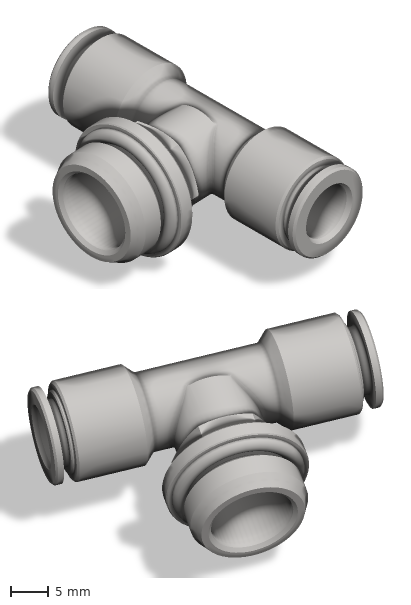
import cadquery as cq
import math


run_half_length = 22.95
run_diameter = 11.0
run_bore_diameter = 6.0
neck_fillet = 0.5
socket_diameter = 14.0
socket_end_x = 20.0
socket_shoulder_x = 10.2
socket_chamfer = 0.3

collar_seat_diameter = 11.65
collar_seat_end_x = 20.45
collar_seat_chamfer = 0.2
collar_neck_diameter = 9.4
collar_flange_diameter = 13.5
collar_flange_thickness = 1.15
collar_flange_chamfer = 0.3
collar_root_fillet = 0.25

tube_bore_diameter = 8.15
tube_bore_end_x = 8.0
tube_bore_mouth_diameter = 8.95
tube_bore_mouth_length = 0.7

stem_diameter = 12.5
stem_top_y = -0.6
stem_top_chamfer_axial = 0.85
stem_top_chamfer_radial = 0.95
stem_root_fillet = 0.6
stem_bottom_y = -8.15

hex_across_flats = 13.1
hex_top_y = -8.33
hex_cone_top_diameter = 12.2
hex_cone_angle = 30.0

flange_diameter = 20.0
flange_top_y = -12.5
flange_bottom_y = -14.95
flange_top_chamfer = 0.45
flange_bottom_chamfer = 0.15
seal_diameter = 18.5
seal_section_diameter = 2.1
seal_centre_y = -15.05
seal_groove_diameter = 14.4
thread_diameter = 16.5
thread_tip_diameter = 14.5
thread_full_y = -17.2
thread_tip_start_y = -20.15
stem_end_y = -22.0

stem_bore_diameter = 11.5
stem_bore_mouth_diameter = 12.5
stem_bore_cone_start_y = -11.0
stem_bore_mouth_length = 0.5

bore_cone_angle = 118.0


def frustum(axis, start, end, start_diameter, end_diameter):
    """Cone or cylinder on the X or Y axis between two positions along it."""
    if axis == "X":
        points = [(start, 0), (start, start_diameter / 2), (end, end_diameter / 2), (end, 0)]
        pivot = (1, 0, 0)
    else:
        points = [(0, start), (start_diameter / 2, start), (end_diameter / 2, end), (0, end)]
        pivot = (0, 1, 0)
    return cq.Workplane("XY").polyline(points).close().revolve(360, (0, 0, 0), pivot)


def cylinder(axis, start, end, diameter):
    """Cylinder on the X or Y axis between two positions along it."""
    return frustum(axis, start, end, diameter, diameter)


def make_blended_tee():
    """Plain run with the round stem, its top edge chamfered, blended into it."""
    run = cylinder("X", -socket_shoulder_x, socket_shoulder_x, run_diameter)
    stem_top_diameter = stem_diameter - 2 * stem_top_chamfer_radial
    stem_body_top_y = stem_top_y - stem_top_chamfer_axial
    stem = cylinder("Y", stem_bottom_y, stem_body_top_y, stem_diameter)
    stem = stem.union(frustum("Y", stem_body_top_y, stem_top_y, stem_diameter, stem_top_diameter))
    tee = run.union(stem)
    return tee.edges("%BSPLINE").fillet(stem_root_fillet)


def make_run_end():
    """Socket and release collar at the +X end, turned from one profile."""
    run_radius = run_diameter / 2
    socket_radius = socket_diameter / 2
    seat_radius = collar_seat_diameter / 2
    neck_radius = collar_neck_diameter / 2
    flange_radius = collar_flange_diameter / 2
    flange_x = run_half_length - collar_flange_thickness
    cone_start_x = socket_shoulder_x - (socket_radius - run_radius)
    blend_reach = neck_fillet * math.tan(math.pi / 8)
    blend_rise = blend_reach * math.cos(math.pi / 4)
    profile = (
        cq.Workplane("XY")
        .lineTo(0, run_radius)
        .lineTo(cone_start_x - blend_reach, run_radius)
        .tangentArcPoint((cone_start_x + blend_rise, run_radius + blend_rise), relative=False)
        .lineTo(socket_shoulder_x, socket_radius)
        .lineTo(socket_end_x - socket_chamfer, socket_radius)
        .lineTo(socket_end_x, socket_radius - socket_chamfer)
        .lineTo(socket_end_x, seat_radius)
        .lineTo(collar_seat_end_x - collar_seat_chamfer, seat_radius)
        .lineTo(collar_seat_end_x, seat_radius - collar_seat_chamfer)
        .lineTo(collar_seat_end_x, neck_radius)
        .lineTo(flange_x - collar_root_fillet, neck_radius)
        .tangentArcPoint((flange_x, neck_radius + collar_root_fillet), relative=False)
        .lineTo(flange_x, flange_radius)
        .lineTo(run_half_length - collar_flange_chamfer, flange_radius)
        .lineTo(run_half_length, flange_radius - collar_flange_chamfer)
        .lineTo(run_half_length, 0)
        .close()
    )
    return profile.revolve(360, (0, 0, 0), (1, 0, 0))


def make_hexagon():
    """Hexagon between the neck and the flange, with its top corners cut by a cone."""
    corner_diameter = hex_across_flats / math.cos(math.pi / 6)
    height = hex_top_y - flange_top_y
    prism = cq.Workplane("XZ", origin=(0, hex_top_y, 0)).polygon(6, corner_diameter).extrude(height)
    cone_drop = (corner_diameter - hex_cone_top_diameter) / 2 * math.tan(math.radians(hex_cone_angle))
    cone_base_y = hex_top_y - cone_drop
    envelope = frustum("Y", cone_base_y, hex_top_y, corner_diameter, hex_cone_top_diameter)
    envelope = envelope.union(cylinder("Y", flange_top_y, cone_base_y, corner_diameter))
    return prism.intersect(envelope)


def make_stem_end():
    """Neck, hexagon, sealing flange, O-ring in its groove, and threaded spigot below the round stem."""
    neck = frustum("Y", hex_top_y, stem_bottom_y, hex_cone_top_diameter, stem_diameter)
    flange = cylinder("Y", flange_bottom_y, flange_top_y, flange_diameter)
    flange = flange.faces(">Y").chamfer(flange_top_chamfer)
    flange = flange.faces("<Y").chamfer(flange_bottom_chamfer)
    seal_ring_radius = (seal_diameter - seal_section_diameter) / 2
    seal_section = cq.Workplane("XY").center(seal_ring_radius, seal_centre_y)
    seal_section = seal_section.circle(seal_section_diameter / 2)
    seal = seal_section.revolve(360, (-seal_ring_radius, 0, 0), (-seal_ring_radius, 1, 0))
    groove_y = thread_full_y + (thread_diameter - seal_groove_diameter) / 2
    groove = cylinder("Y", groove_y, flange_bottom_y, seal_groove_diameter)
    relief = frustum("Y", thread_full_y, groove_y, thread_diameter, seal_groove_diameter)
    thread = cylinder("Y", thread_tip_start_y, thread_full_y, thread_diameter)
    tip = frustum("Y", stem_end_y, thread_tip_start_y, thread_tip_diameter, thread_diameter)
    end = neck.union(make_hexagon())
    for section in (flange, groove, seal, relief, thread, tip):
        end = end.union(section)
    return end


def bore_cone_length(diameter):
    """Length of the cone from a bore of this diameter down to the run bore."""
    half_angle = math.radians(bore_cone_angle / 2)
    return (diameter - run_bore_diameter) / 2 / math.tan(half_angle)


def make_run_bore():
    """Through bore of the run with a stepped, countersunk tube socket at both ends."""
    bore = cylinder("X", -run_half_length, run_half_length, run_bore_diameter)
    cone_end_x = tube_bore_end_x - bore_cone_length(tube_bore_diameter)
    mouth_x = run_half_length - tube_bore_mouth_length
    cone = frustum("X", cone_end_x, tube_bore_end_x, run_bore_diameter, tube_bore_diameter)
    socket = cylinder("X", tube_bore_end_x, run_half_length, tube_bore_diameter)
    mouth = frustum("X", mouth_x, run_half_length, tube_bore_diameter, tube_bore_mouth_diameter)
    half = cone.union(socket).union(mouth)
    return bore.union(half).union(half.mirror("YZ"))


def make_stem_bore():
    """Countersunk bore of the stem, coned down to the run bore."""
    cone_end_y = stem_bore_cone_start_y + bore_cone_length(stem_bore_diameter)
    bore = cylinder("Y", cone_end_y, 0, run_bore_diameter)
    cone = frustum("Y", stem_bore_cone_start_y, cone_end_y, stem_bore_diameter, run_bore_diameter)
    straight = cylinder("Y", stem_end_y, stem_bore_cone_start_y, stem_bore_diameter)
    mouth_y = stem_end_y + stem_bore_mouth_length
    mouth = frustum("Y", stem_end_y, mouth_y, stem_bore_mouth_diameter, stem_bore_diameter)
    return bore.union(cone).union(straight).union(mouth)


run_end = make_run_end()
result = make_blended_tee().union(run_end).union(run_end.mirror("YZ")).union(make_stem_end())
result = result.cut(make_run_bore()).cut(make_stem_bore())